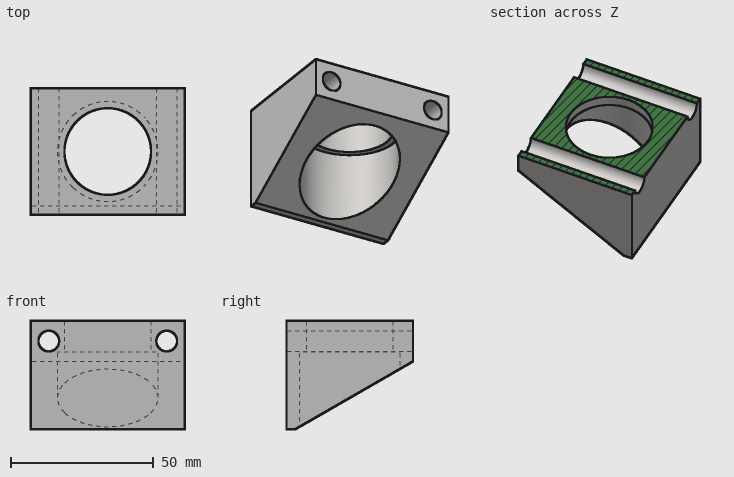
import cadquery as cq

width = 54.1
depth = 44.45
height = 38.1

rear_height = 14.3
foot_depth = 3.15

bore_diameter = 30.3
bore_depth = 11.05
counterbore_diameter = 35.15

mount_hole_diameter = 7.2
mount_hole_spacing = 41.35
mount_hole_drop = 7.15


def wedge_block():
    """Block with its top at Z = 0 and its front face at Y = 0."""
    profile = [
        (0, 0),
        (depth, 0),
        (depth, -rear_height),
        (foot_depth, -height),
        (0, -height),
    ]
    return cq.Workplane("YZ").polyline(profile).close().extrude(width / 2, both=True)


def stepped_bore():
    """Narrow bore from the top that opens into a wider one through the underside."""
    center = cq.Workplane("XY").center(0, depth / 2)
    narrow = center.circle(bore_diameter / 2).extrude(-bore_depth)
    wide = (
        center.workplane(offset=-bore_depth)
        .circle(counterbore_diameter / 2)
        .extrude(bore_depth - height)
    )
    return narrow.union(wide)


def mounting_holes():
    half_spacing = mount_hole_spacing / 2
    return (
        cq.Workplane("XZ")
        .pushPoints([(-half_spacing, -mount_hole_drop), (half_spacing, -mount_hole_drop)])
        .circle(mount_hole_diameter / 2)
        .extrude(-depth)
    )


result = wedge_block().cut(stepped_bore()).cut(mounting_holes())